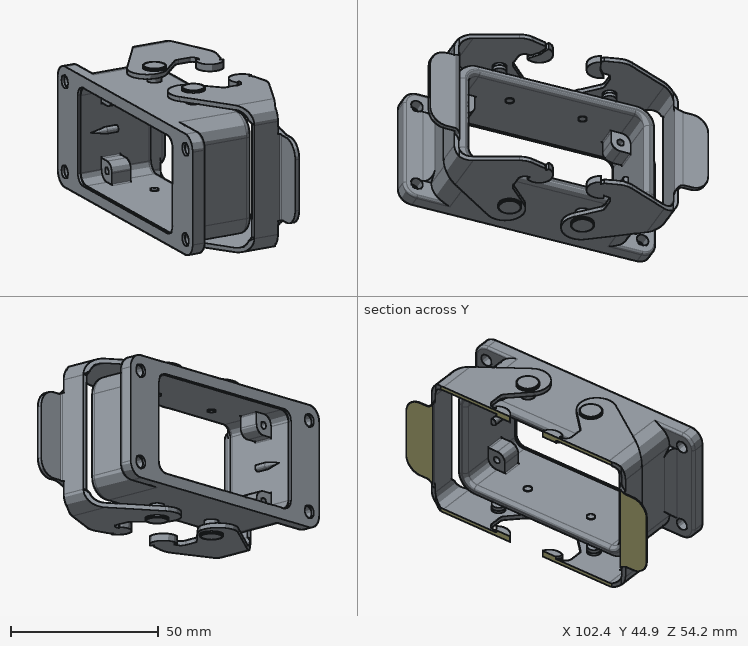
import cadquery as cq
import math


OVERLAP = 1.0
SELECT_MARGIN = 0.1

FLANGE_LENGTH = 93.0
BODY_WIDTH = 43.1
FLANGE_THICKNESS = 5.1
FLANGE_CORNER_RADIUS = 5.0
FLANGE_EDGE_RADIUS = 0.9
MOUNT_HOLE_DIAMETER = 4.3
MOUNT_HOLE_X = 41.6
MOUNT_HOLE_Z = 16.1

BODY_LENGTH = 72.7
BODY_CORNER_RADIUS = 7.2
BODY_HEIGHT = 28.9
RIM_OUTER_RADIUS = 2.3
RIM_INNER_RADIUS = 1.5
OPENING_LENGTH = 64.5
OPENING_WIDTH = 34.8
OPENING_RADIUS = 3.6
MOUTH_DEPTH = 1.0
MOUTH_LENGTH = 65.1
MOUTH_WIDTH = 35.0
MOUTH_HOLE_DIAMETER = 4.5
GUSSET_RADIUS = 3.1
GUSSET_HALF_WIDTH = 14.3

BLOCK_X = 25.1
BLOCK_Z = 9.8
BLOCK_RADIUS = 3.4
BLOCK_START = 9.0
BLOCK_LENGTH = 7.4
BLOCK_ROOT_RADIUS = 0.4
SCREW_HOLE_DIAMETER = 2.5
SCREW_HOLE_X = 28.6
SCREW_HOLE_Z = 13.4
GUIDE_DIAMETER = 2.5
GUIDE_X = 31.5
GUIDE_TIP = 4.5
GUIDE_SHOULDER = 10.2
GUIDE_END = 14.5

PIVOT_X = 13.4
PIVOT_Y = 19.0
RIVET_SHAFT_DIAMETER = 4.9
RIVET_TAIL_DIAMETER = 3.0
RIVET_TAIL_HEIGHT = 0.3
RIVET_HEAD_DIAMETER = 8.0
RIVET_HEAD_CHAMFER = 0.3
RIVET_SPAN = 54.2

SHEET = 1.6
LEVER_WIDTH = 52.4
LEVER_BEND_RADIUS = 6.0
LEVER_WALL_X = -41.3
LEVER_WALL_BOTTOM = 26.9
LEVER_WALL_TOP = 36.2
LEVER_FOOT_CENTER = (-14.0, 16.5)
LEVER_FOOT_RADIUS = 6.9
FOOT_LOWER_ANGLE = -124.6
FOOT_UPPER_ANGLE = 45
HOOK_THROAT_CENTER = (-14.4, 34.2)
HOOK_THROAT_RADIUS = 2.5
HOOK_THROAT_END_ANGLE = 70
HOOK_NECK_RADIUS = 2.5
LEVER_NOSE = (-18.4, 45.3)
LEVER_NOSE_RADIUS = 7.5
LEVER_BACK_X = -39.4
HOOK_CENTER = (-11.3, 39.2)
HOOK_RADIUS = 4.7
HOOK_START_ANGLE = -128
HOOK_END_ANGLE = 70
HOOK_STEP_RADIUS = 3.5
HOOK_SHOULDER = (-11.0, 43.4)
HOOK_PAD_HEIGHT = 0.9
STOP_X = -20.3
STOP_Y = 26.2
STOP_DIAMETER = 4.9
STOP_BASE_HEIGHT = 0.9
STOP_END_DIAMETER = 4.8
STOP_HEIGHT = 2.3

HANDLE_END_X = -51.2
HANDLE_TOP = 38.8
HANDLE_HALF_WIDTH = 15.2
HANDLE_CORNER_RADIUS = 6.0
HANDLE_ROOT_RADIUS = 3.0
HANDLE_BEND_RADIUS = 0.5


def rounded_block(length, width, radius, y_start, y_end):
    """Rounded rectangle in XZ, centred on the Y axis, from y_start to y_end."""
    block = cq.Workplane("XY").box(length, y_end - y_start, width)
    block = block.edges("|Y").fillet(radius)
    return block.translate((0, (y_start + y_end) / 2, 0))


def rod(diameter, x, z, y_start, y_end):
    """Cylinder along Y."""
    return cq.Workplane("XZ", origin=(x, y_start, z)).circle(diameter / 2).extrude(y_start - y_end)


def polar(center, radius, degrees):
    angle = math.radians(degrees)
    return (center[0] + radius * math.cos(angle), center[1] + radius * math.sin(angle))


def arc_points(center, radius, start, end):
    """Middle and end points of an arc between two angles in degrees."""
    return polar(center, radius, (start + end) / 2), polar(center, radius, end)


def mirrored_x(solid):
    return solid.union(solid.mirror("YZ"))


def mirrored_z(solid):
    return solid.union(solid.mirror("XY"))


def make_flange():
    flange = rounded_block(FLANGE_LENGTH, BODY_WIDTH, FLANGE_CORNER_RADIUS, 0, FLANGE_THICKNESS)
    return flange.faces(">Y").edges().fillet(FLANGE_EDGE_RADIUS)


def make_body():
    body = rounded_block(BODY_LENGTH, BODY_WIDTH, BODY_CORNER_RADIUS, 0, BODY_HEIGHT)
    return body.faces(">Y").edges().fillet(RIM_OUTER_RADIUS)


def make_gusset():
    wall_x = -BODY_LENGTH / 2
    base_y = FLANGE_THICKNESS
    mid = GUSSET_RADIUS * (1 - math.sqrt(0.5))
    fillet = (
        cq.Workplane("XY")
        .moveTo(wall_x, base_y)
        .lineTo(wall_x - GUSSET_RADIUS, base_y)
        .threePointArc((wall_x - mid, base_y + mid), (wall_x, base_y + GUSSET_RADIUS))
        .close()
        .extrude(GUSSET_HALF_WIDTH, both=True)
    )
    top_half = GUSSET_HALF_WIDTH - GUSSET_RADIUS
    miter = (
        cq.Workplane("YZ")
        .polyline([
            (base_y, -GUSSET_HALF_WIDTH),
            (base_y, GUSSET_HALF_WIDTH),
            (base_y + GUSSET_RADIUS, top_half),
            (base_y + GUSSET_RADIUS, -top_half),
        ])
        .close()
        .extrude(-BODY_LENGTH)
    )
    return fillet.intersect(miter)


def make_screw_blocks():
    size_x = BODY_LENGTH / 2 - BLOCK_X
    size_z = BODY_WIDTH / 2 - BLOCK_Z
    block = (
        cq.Workplane("XY")
        .box(size_x, BLOCK_LENGTH, size_z, centered=False)
        .edges("|Y and <X and <Z")
        .fillet(BLOCK_RADIUS)
        .translate((BLOCK_X, BLOCK_START, BLOCK_Z))
    )
    hole = rod(SCREW_HOLE_DIAMETER, SCREW_HOLE_X, SCREW_HOLE_Z, BLOCK_START, BLOCK_START + BLOCK_LENGTH)
    blocks = mirrored_x(mirrored_z(block.cut(hole)))
    envelope = rounded_block(
        OPENING_LENGTH + 2 * OVERLAP,
        OPENING_WIDTH + 2 * OVERLAP,
        OPENING_RADIUS + OVERLAP,
        0,
        BODY_HEIGHT,
    )
    return blocks.intersect(envelope)


def round_block_roots(housing):
    """Fillet the corners where the screw blocks meet the opening walls."""
    block_middle = BLOCK_START + BLOCK_LENGTH / 2
    roots = [
        housing.edges(cq.selectors.NearestToPointSelector((x * side_x, block_middle, z * side_z))).val()
        for x, z in ((BLOCK_X, OPENING_WIDTH / 2), (OPENING_LENGTH / 2, BLOCK_Z))
        for side_x in (-1, 1)
        for side_z in (-1, 1)
    ]
    return housing.newObject(roots).fillet(BLOCK_ROOT_RADIUS)


def make_guide_pins():
    radius = GUIDE_DIAMETER / 2
    pin = (
        cq.Workplane("XY", origin=(GUIDE_X, 0, 0))
        .polyline([(0, GUIDE_TIP), (radius, GUIDE_SHOULDER), (radius, GUIDE_END), (0, GUIDE_END)])
        .close()
        .revolve(360, (0, 0, 0), (0, 1, 0))
    )
    return mirrored_x(pin)


def round_inner_rim(housing):
    """Fillet the edge of the opening on the far end of the body."""
    half_x = OPENING_LENGTH / 2 + SELECT_MARGIN
    half_z = OPENING_WIDTH / 2 + SELECT_MARGIN
    rim_box = cq.selectors.BoxSelector(
        (-half_x, BODY_HEIGHT - SELECT_MARGIN, -half_z),
        (half_x, BODY_HEIGHT + SELECT_MARGIN, half_z),
        boundingbox=True,
    )
    return housing.edges(rim_box).fillet(RIM_INNER_RADIUS)


def make_housing():
    housing = make_flange().union(make_body()).union(mirrored_x(make_gusset()))
    opening = rounded_block(OPENING_LENGTH, OPENING_WIDTH, OPENING_RADIUS, 0, BODY_HEIGHT)
    mouth = rounded_block(MOUTH_LENGTH, MOUTH_WIDTH, OPENING_RADIUS, 0, MOUTH_DEPTH)
    housing = round_inner_rim(housing.cut(opening))
    housing = housing.cut(mouth)
    for x in (-MOUNT_HOLE_X, MOUNT_HOLE_X):
        for z in (-MOUNT_HOLE_Z, MOUNT_HOLE_Z):
            housing = housing.cut(rod(MOUNT_HOLE_DIAMETER, x, z, 0, FLANGE_THICKNESS))
            housing = housing.cut(rod(MOUTH_HOLE_DIAMETER, x, z, 0, MOUTH_DEPTH))
    housing = round_block_roots(housing.union(make_screw_blocks()))
    return housing.union(make_guide_pins())


def make_rivets():
    head_base = LEVER_WIDTH / 2
    tail_end = OPENING_WIDTH / 2 - RIVET_TAIL_HEIGHT
    tail = (
        cq.Workplane("XY", origin=(-PIVOT_X, PIVOT_Y, tail_end))
        .circle(RIVET_TAIL_DIAMETER / 2)
        .extrude(BODY_WIDTH / 2 - tail_end)
    )
    shaft_start = BODY_WIDTH / 2 - OVERLAP
    shaft = (
        cq.Workplane("XY", origin=(-PIVOT_X, PIVOT_Y, shaft_start))
        .circle(RIVET_SHAFT_DIAMETER / 2)
        .extrude(head_base - shaft_start)
    )
    head = (
        cq.Workplane("XY", origin=(-PIVOT_X, PIVOT_Y, head_base))
        .circle(RIVET_HEAD_DIAMETER / 2)
        .extrude(RIVET_SPAN / 2 - head_base)
        .faces(">Z")
        .chamfer(RIVET_HEAD_CHAMFER)
    )
    return mirrored_z(tail.union(shaft).union(head))


def lever_outline():
    throat_left = HOOK_THROAT_CENTER[0] - HOOK_THROAT_RADIUS
    foot_end = polar(LEVER_FOOT_CENTER, LEVER_FOOT_RADIUS, FOOT_UPPER_ANGLE)
    neck_y = foot_end[1] + foot_end[0] - throat_left
    neck_drop = HOOK_NECK_RADIUS * math.tan(math.radians(FOOT_UPPER_ANGLE / 2))
    neck_center = (throat_left + HOOK_NECK_RADIUS, neck_y + neck_drop)
    return (
        cq.Workplane("XY")
        .moveTo(LEVER_WALL_X, LEVER_WALL_BOTTOM)
        .lineTo(*polar(LEVER_FOOT_CENTER, LEVER_FOOT_RADIUS, FOOT_LOWER_ANGLE))
        .threePointArc(*arc_points(LEVER_FOOT_CENTER, LEVER_FOOT_RADIUS, FOOT_LOWER_ANGLE, FOOT_UPPER_ANGLE))
        .lineTo(*polar(neck_center, HOOK_NECK_RADIUS, 180 + FOOT_UPPER_ANGLE))
        .threePointArc(*arc_points(neck_center, HOOK_NECK_RADIUS, 180 + FOOT_UPPER_ANGLE, 180))
        .lineTo(throat_left, HOOK_THROAT_CENTER[1])
        .threePointArc(*arc_points(HOOK_THROAT_CENTER, HOOK_THROAT_RADIUS, 180, HOOK_THROAT_END_ANGLE))
        .lineTo(*polar(HOOK_CENTER, HOOK_RADIUS, HOOK_START_ANGLE))
        .threePointArc(*arc_points(HOOK_CENTER, HOOK_RADIUS, HOOK_START_ANGLE, HOOK_END_ANGLE))
        .lineTo(*polar(HOOK_CENTER, HOOK_STEP_RADIUS, HOOK_END_ANGLE))
        .lineTo(*HOOK_SHOULDER)
        .lineTo(*LEVER_NOSE)
        .lineTo(LEVER_BACK_X, LEVER_WALL_TOP)
        .lineTo(LEVER_WALL_X, LEVER_WALL_TOP)
        .close()
    )


def make_strap():
    plate = lever_outline().extrude(LEVER_WIDTH / 2, both=True)
    plate = plate.edges(cq.selectors.NearestToPointSelector((*LEVER_NOSE, 0))).fillet(LEVER_NOSE_RADIUS)
    reach = -2 * LEVER_WALL_X
    outer = cq.Workplane("XY").box(reach, reach, LEVER_WIDTH)
    outer = outer.edges("|Y and <X").fillet(LEVER_BEND_RADIUS)
    inner = cq.Workplane("XY").box(reach, reach, LEVER_WIDTH - 2 * SHEET)
    inner = inner.edges("|Y and <X").fillet(LEVER_BEND_RADIUS - SHEET).translate((SHEET, 0, 0))
    strap = plate.intersect(outer.cut(inner).translate((0, LEVER_WALL_BOTTOM, 0)))

    foot = polar(LEVER_FOOT_CENTER, LEVER_FOOT_RADIUS, FOOT_LOWER_ANGLE)
    slope = (foot[1] - LEVER_WALL_BOTTOM) / (foot[0] - LEVER_WALL_X)
    bend_end_y = LEVER_WALL_BOTTOM + slope * LEVER_BEND_RADIUS
    wall_half = LEVER_WIDTH / 2 - LEVER_BEND_RADIUS
    plate_inner = LEVER_WIDTH / 2 - SHEET
    notch = (
        cq.Workplane("YZ", origin=(LEVER_WALL_X, 0, 0))
        .polyline([
            (bend_end_y, -plate_inner),
            (LEVER_WALL_BOTTOM, -wall_half),
            (LEVER_WALL_BOTTOM, wall_half),
            (bend_end_y, plate_inner),
        ])
        .close()
        .extrude(LEVER_BEND_RADIUS)
    )
    return strap.cut(notch)


def make_handle():
    bend_outer = HANDLE_BEND_RADIUS + SHEET
    bend_start = LEVER_WALL_X - HANDLE_BEND_RADIUS
    wall_inner = LEVER_WALL_X + SHEET
    bottom = HANDLE_TOP - SHEET
    center = (bend_start, bottom - HANDLE_BEND_RADIUS)
    bent_sheet = (
        cq.Workplane("XY")
        .moveTo(HANDLE_END_X, bottom)
        .lineTo(bend_start, bottom)
        .threePointArc(*arc_points(center, HANDLE_BEND_RADIUS, 90, 0))
        .lineTo(LEVER_WALL_X, LEVER_WALL_BOTTOM + OVERLAP)
        .lineTo(wall_inner, LEVER_WALL_BOTTOM + OVERLAP)
        .lineTo(wall_inner, center[1])
        .threePointArc(*arc_points(center, bend_outer, 0, 90))
        .lineTo(HANDLE_END_X, HANDLE_TOP)
        .close()
        .extrude(LEVER_WIDTH / 2 - LEVER_BEND_RADIUS, both=True)
    )
    root = HANDLE_ROOT_RADIUS
    root_x = wall_inner
    root_half = HANDLE_HALF_WIDTH + root
    tip_x = HANDLE_END_X + HANDLE_CORNER_RADIUS
    tip_z = HANDLE_HALF_WIDTH - HANDLE_CORNER_RADIUS
    plan = (
        cq.Workplane("XZ", origin=(0, LEVER_WALL_BOTTOM, 0))
        .moveTo(root_x, -root_half)
        .threePointArc(*arc_points((root_x - root, -root_half), root, 0, 90))
        .lineTo(tip_x, -HANDLE_HALF_WIDTH)
        .threePointArc(*arc_points((tip_x, -tip_z), HANDLE_CORNER_RADIUS, 270, 180))
        .lineTo(HANDLE_END_X, 0)
        .lineTo(root_x, 0)
        .close()
        .extrude(LEVER_WALL_BOTTOM - HANDLE_TOP)
    )
    return bent_sheet.intersect(mirrored_z(plan))


def make_lever():
    plate_inner = LEVER_WIDTH / 2 - SHEET
    pad = (
        cq.Workplane("XY", origin=(0, 0, plate_inner - HOOK_PAD_HEIGHT))
        .moveTo(*HOOK_CENTER)
        .lineTo(*polar(HOOK_CENTER, HOOK_RADIUS, HOOK_START_ANGLE))
        .threePointArc(*arc_points(HOOK_CENTER, HOOK_RADIUS, HOOK_START_ANGLE, HOOK_END_ANGLE))
        .close()
        .extrude(HOOK_PAD_HEIGHT)
    )
    stop_base = (
        cq.Workplane("XY", origin=(STOP_X, STOP_Y, plate_inner))
        .circle(STOP_DIAMETER / 2)
        .extrude(-STOP_BASE_HEIGHT)
    )
    stop_end = (
        cq.Workplane("XY", origin=(STOP_X, STOP_Y, plate_inner))
        .circle(STOP_END_DIAMETER / 2)
        .extrude(-STOP_HEIGHT)
    )
    stop = stop_base.union(stop_end)
    return make_strap().union(make_handle()).union(mirrored_z(pad.union(stop)))


result = make_housing().union(mirrored_x(make_lever().union(make_rivets())))